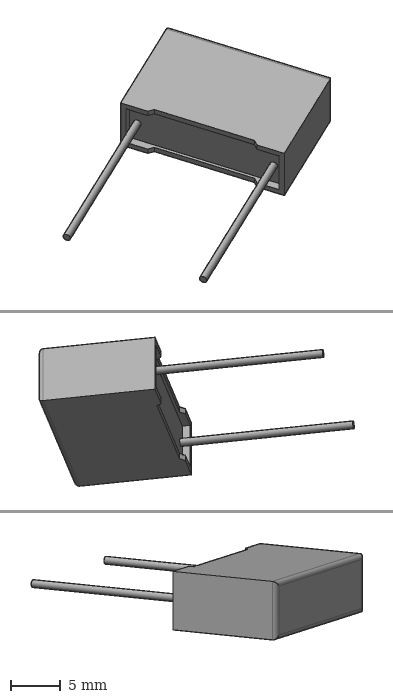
import cadquery as cq


total_length = 29.0
case_width = 18.0
case_height = 6.0
case_depth = 12.0
wall = 0.6
back_fillet = 0.5

relief_width = 12.0
relief_depth = 0.5

fill_recess = 0.8

lead_pitch = 15.0
lead_diameter = 0.8

cavity_width = case_width - 2 * wall
cavity_height = case_height - 2 * wall
cavity_depth = case_depth - wall
fill_depth = cavity_depth - fill_recess
lead_length = total_length - case_depth + fill_recess


def block_behind(front_y, width, depth, height):
    """Block centred on X and Z that runs from front_y toward +Y."""
    block = cq.Workplane("XY").box(width, depth, height, centered=(True, False, True))
    return block.translate((0, front_y, 0))


def make_relief_cutter():
    """Trapezoid, widest at the rim, through the full case height."""
    rim_half = relief_width / 2
    floor_half = rim_half - relief_depth
    outline = [
        (-rim_half, 0),
        (rim_half, 0),
        (floor_half, relief_depth),
        (-floor_half, relief_depth),
    ]
    return cq.Workplane("XY").polyline(outline).close().extrude(case_height / 2, both=True)


def make_case():
    """Shell open toward -Y, with a rounded back and relieved rim."""
    shell = block_behind(0, case_width, case_depth, case_height)
    shell = shell.faces(">Y").edges().fillet(back_fillet)
    cavity = block_behind(0, cavity_width, cavity_depth, cavity_height)
    return shell.cut(cavity).cut(make_relief_cutter())


def make_fill():
    """Potting that fills the cavity up to its recessed front face."""
    return block_behind(fill_recess, cavity_width, fill_depth, cavity_height)


def make_lead(x):
    """Straight round wire from the face of the fill toward -Y."""
    fill_face = cq.Workplane("XZ", origin=(x, fill_recess, 0))
    return fill_face.circle(lead_diameter / 2).extrude(lead_length)


case = make_case()
fill = make_fill()
leads = [make_lead(side * lead_pitch / 2) for side in (-1, 1)]

result = cq.Compound.makeCompound([case.val(), fill.val(), *[lead.val() for lead in leads]])